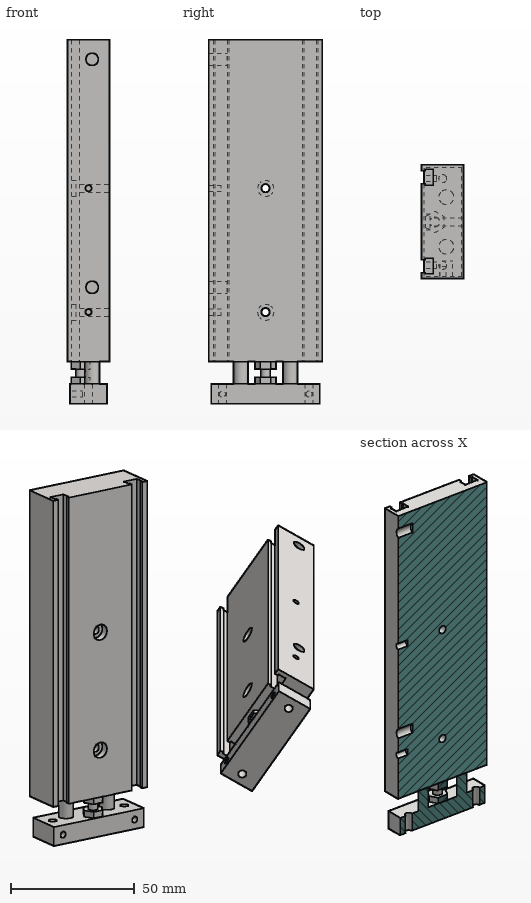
import cadquery as cq

TOTAL_Z = 147.0
HOUSING_X = 17.0
HOUSING_Y = 46.0
HOUSING_Z = 130.0
HOUSING_LEFT = -HOUSING_X / 2
HOUSING_FRONT = -HOUSING_Y / 2

SLOT_OFFSET = 18.0
SLOT_MOUTH = 5.1
SLOT_WIDTH = 6.3
SLOT_LIP = 1.5
SLOT_DEPTH = 4.9

MOUNT_HEIGHTS = (20.0, 70.0)
MOUNT_DIAMETER = 3.2
MOUNT_HEAD_DIAMETER = 6.5
MOUNT_HEAD_DEPTH = 3.4
LOCATING_DIAMETER = 2.5
LOCATING_DEPTH = 5.0

PORT_X = 1.5
PORT_DIAMETER = 5.0
PORT_HEIGHTS = (30.0, 122.0)
PORT_DEPTH = 7.4

PLATE_X = 15.0
PLATE_Y = 44.0
GAP = 9.0
PLATE_Z = TOTAL_Z - HOUSING_Z - GAP
PLATE_TOP = -GAP
ROD_DIAMETER = 6.0
ROD_X = PORT_X
ROD_OFFSET = 10.0
PLATE_HOLE_OFFSET = 17.5
PLATE_BORE_DIAMETER = 3.2
PLATE_SIDE_DIAMETER = 2.5
PLATE_SIDE_DEPTH = 5.0

SCREW_X = -3.2
SCREW_DIAMETER = 4.0
HEX_FLATS = 7.5
HEAD_HEIGHT = 3.1
NUT_HEIGHT = 2.6



def cylinder(diameter, length, start, direction):
    """Cylinder that runs from the start point along a direction."""
    return cq.Workplane(cq.Solid.makeCylinder(diameter / 2, length, cq.Vector(*start), cq.Vector(*direction)))


def t_slot(y):
    """T-slot cutter for the -X face: a narrow mouth that opens into a wide channel."""
    mouth = cq.Workplane().box(SLOT_DEPTH, SLOT_MOUTH, HOUSING_Z, centered=(False, True, False))
    channel = (
        cq.Workplane()
        .box(SLOT_DEPTH - SLOT_LIP, SLOT_WIDTH, HOUSING_Z, centered=(False, True, False))
        .translate((SLOT_LIP, 0, 0))
    )
    return mouth.union(channel).translate((HOUSING_LEFT, y, 0))


def make_housing():
    body = cq.Workplane().box(HOUSING_X, HOUSING_Y, HOUSING_Z, centered=(True, True, False))
    for side in (-1, 1):
        body = body.cut(t_slot(side * SLOT_OFFSET))
    for z in MOUNT_HEIGHTS:
        face_point = (HOUSING_LEFT, 0, z)
        body = body.cut(cylinder(MOUNT_DIAMETER, HOUSING_X, face_point, (1, 0, 0)))
        body = body.cut(cylinder(MOUNT_HEAD_DIAMETER, MOUNT_HEAD_DEPTH, face_point, (1, 0, 0)))
        body = body.cut(cylinder(LOCATING_DIAMETER, LOCATING_DEPTH, (0, HOUSING_FRONT, z), (0, 1, 0)))
    for z in PORT_HEIGHTS:
        body = body.cut(cylinder(PORT_DIAMETER, PORT_DEPTH, (PORT_X, HOUSING_FRONT, z), (0, 1, 0)))
    return body


def make_rod_plate():
    """End plate in one piece with its two guide rods, which reach up to the housing."""
    body = (
        cq.Workplane()
        .box(PLATE_X, PLATE_Y, PLATE_Z, centered=(True, True, False))
        .translate((0, 0, PLATE_TOP - PLATE_Z))
    )
    side_hole_z = PLATE_TOP - PLATE_Z / 2
    for side in (-1, 1):
        hole_y = side * PLATE_HOLE_OFFSET
        body = body.union(cylinder(ROD_DIAMETER, GAP, (ROD_X, side * ROD_OFFSET, PLATE_TOP), (0, 0, 1)))
        body = body.cut(cylinder(PLATE_BORE_DIAMETER, PLATE_Z, (0, hole_y, PLATE_TOP), (0, 0, -1)))
        body = body.cut(
            cylinder(PLATE_SIDE_DIAMETER, PLATE_SIDE_DEPTH, (-PLATE_X / 2, hole_y, side_hole_z), (1, 0, 0))
        )
    return body


def hexagon(bottom, height):
    """Hexagonal prism on the screw axis, with two flats square to X."""
    prism = cq.Workplane().polygon(6, HEX_FLATS, circumscribed=True).extrude(height)
    return prism.translate((SCREW_X, 0, bottom))


def make_stop_screw():
    """Screw with a hexagonal head at the housing and a hexagonal nut on the plate."""
    shank = cylinder(SCREW_DIAMETER, GAP, (SCREW_X, 0, PLATE_TOP), (0, 0, 1))
    head = hexagon(-HEAD_HEIGHT, HEAD_HEIGHT)
    nut = hexagon(PLATE_TOP, NUT_HEIGHT)
    return shank.union(head).union(nut)


housing = make_housing()
rod_plate = make_rod_plate()
stop_screw = make_stop_screw()

result = cq.Compound.makeCompound([housing.val(), rod_plate.val(), stop_screw.val()])